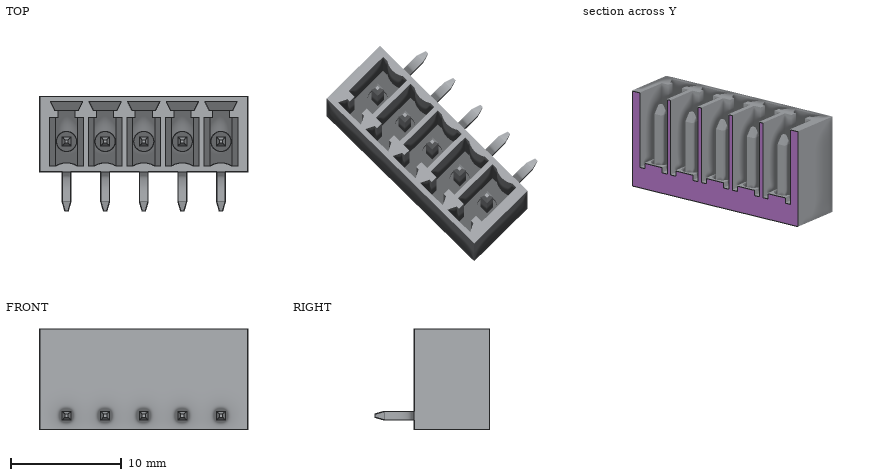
import cadquery as cq


pin_count = 5
pitch = 3.5
end_margin = 2.45
housing_length = (pin_count - 1) * pitch + 2 * end_margin
housing_depth = 6.84
housing_height = 9.14

pocket_width = 3.05
pocket_front = 0.51
pocket_back = 4.93
neck_width = 1.55
key_front = 5.565
key_back = 6.365
key_front_width = 2.14
key_back_width = 2.92
floor_height = 2.5
groove_depth = 0.5
low_floor_height = floor_height - groove_depth
central_floor_width = 2.01
pin_well_diameter = 1.82

rib_width = central_floor_width
rib_projection = 0.3

pin_width = 0.8
pin_tip_width = 0.3
pin_taper_length = 0.87
contact_y = 2.75
contact_top = 8.0
leg_height = 1.27
leg_projection = 3.57


def box(width, y_start, y_end, z_start, z_end):
    """Block centred on X = 0 between the given Y and Z limits."""
    block = cq.Workplane("XY").box(width, y_end - y_start, z_end - z_start, centered=(True, False, False))
    return block.translate((0, y_start, z_start))


def make_key_slot():
    outline = [
        (-key_front_width / 2, key_front),
        (key_front_width / 2, key_front),
        (key_back_width / 2, key_back),
        (-key_back_width / 2, key_back),
    ]
    slot = cq.Workplane("XY").workplane(offset=low_floor_height)
    return slot.polyline(outline).close().extrude(housing_height - low_floor_height)


def make_rib():
    rib = cq.Workplane("XY").workplane(offset=low_floor_height).moveTo(-rib_width / 2, pocket_front)
    rib = rib.threePointArc((0, pocket_front + rib_projection), (rib_width / 2, pocket_front)).close()
    return rib.extrude(housing_height - low_floor_height)


def make_cavity():
    """Space removed from the housing for one way."""
    pocket = box(pocket_width, pocket_front, pocket_back, low_floor_height, housing_height)
    raised_floor = box(central_floor_width, pocket_front, pocket_back, low_floor_height, floor_height)
    pin_well = cq.Workplane("XY").workplane(offset=low_floor_height).center(0, contact_y)
    pin_well = pin_well.circle(pin_well_diameter / 2).extrude(groove_depth)
    neck = box(neck_width, pocket_back, key_front, floor_height, housing_height)
    return pocket.cut(raised_floor).union(pin_well).cut(make_rib()).union(neck).union(make_key_slot())


def make_pin_arm(length):
    """Square bar along +Z from the origin, tapered to a small flat tip."""
    shaft_length = length - pin_taper_length
    shaft = cq.Workplane("XY").rect(pin_width, pin_width).extrude(shaft_length)
    tip = cq.Workplane("XY").workplane(offset=shaft_length).rect(pin_width, pin_width)
    tip = tip.workplane(offset=pin_taper_length).rect(pin_tip_width, pin_tip_width).loft(ruled=True)
    return shaft.union(tip)


def make_pin():
    """Upright contact and horizontal leg meeting inside the housing."""
    contact = make_pin_arm(contact_top - leg_height).translate((0, contact_y, leg_height))
    leg = make_pin_arm(contact_y + leg_projection).rotate((0, 0, 0), (1, 0, 0), 90)
    return contact.union(leg.translate((0, contact_y, leg_height)))


result = box(housing_length, 0, housing_depth, 0, housing_height)
for index in range(pin_count):
    way_x = (index - (pin_count - 1) / 2) * pitch
    result = result.cut(make_cavity().translate((way_x, 0, 0)))
    result = result.union(make_pin().translate((way_x, 0, 0)))